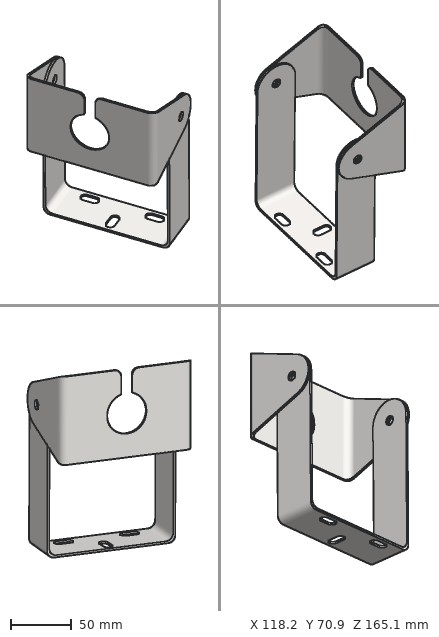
import cadquery as cq
import math


EAR_RADIUS = 19.0
PIVOT_HOLE_DIAMETER = 8.0
BEND_RADIUS = 6.5

PLATE_WIDTH = 118.2
PLATE_HEIGHT = 76.0
PLATE_THICKNESS = 1.8
PLATE_REACH = 50.9
FLANGE_TAPER = 20.0
CABLE_HOLE_DIAMETER = 35.0
ENTRY_SLOT_WIDTH = 9.7
ENTRY_SLOT_ROUND = 6.0
THROAT_ROUND = 2.0

STAND_WIDTH = PLATE_WIDTH - 2 * PLATE_THICKNESS
STAND_THICKNESS = 2.0
STAND_DROP = 127.0
STAND_TILT = 0.45
STAND_DEPTH = 2 * EAR_RADIUS

SLOT_LENGTH = 16.5
SLOT_WIDTH = 8.0
SIDE_SLOT_X = 29.4
SIDE_SLOT_Y = 11.5
CENTRE_SLOT_Y = -7.5


def bent_channel(width, leg, depth, thickness):
    """U channel in local XY, base on y = 0 and legs toward +y, extruded by depth."""
    outer = (
        cq.Workplane("XY").rect(width, 2 * leg).extrude(depth)
        .edges("|Z").fillet(BEND_RADIUS)
    )
    inner = (
        cq.Workplane("XY").rect(width - 2 * thickness, 2 * (leg - thickness)).extrude(depth)
        .edges("|Z").fillet(BEND_RADIUS)
    )
    base_half = cq.Workplane("XY").center(0, -leg / 2).rect(width, leg).extrude(depth)
    return outer.cut(inner).intersect(base_half).translate((0, leg, 0))


def across(outline):
    """Extrude a closed YZ outline across the full width of the part."""
    return outline.extrude(PLATE_WIDTH / 2, both=True)


def pivot_hole():
    return across(cq.Workplane("YZ").circle(PIVOT_HOLE_DIAMETER / 2))


def flange_profile():
    """Side outline: pivot arc, tangent tapers, then a short straight front."""
    taper = math.radians(FLANGE_TAPER)
    half_height = PLATE_HEIGHT / 2
    tangent_y = EAR_RADIUS * math.sin(taper)
    tangent_z = EAR_RADIUS * math.cos(taper)
    shoulder_y = -(half_height - EAR_RADIUS / math.cos(taper)) / math.tan(taper)
    return across(
        cq.Workplane("YZ")
        .moveTo(-PLATE_REACH, -half_height)
        .lineTo(shoulder_y, -half_height)
        .lineTo(tangent_y, -tangent_z)
        .threePointArc((EAR_RADIUS, 0), (tangent_y, tangent_z))
        .lineTo(shoulder_y, half_height)
        .lineTo(-PLATE_REACH, half_height)
        .close()
    )


def keyhole():
    """Cable hole open to the top edge, with rounded slot mouth and throat."""
    hole_radius = CABLE_HOLE_DIAMETER / 2
    half_slot = ENTRY_SLOT_WIDTH / 2
    top = PLATE_HEIGHT / 2
    throat_z = math.sqrt(hole_radius**2 - half_slot**2)
    panel_depth = 2 * PLATE_THICKNESS
    blank = cq.Workplane("XZ").rect(PLATE_WIDTH / 2, PLATE_HEIGHT).extrude(panel_depth)
    hole = cq.Workplane("XZ").circle(hole_radius).extrude(panel_depth)
    slot = cq.Workplane("XZ").center(0, top / 2).rect(ENTRY_SLOT_WIDTH, top).extrude(panel_depth)
    rounded = blank.cut(hole).cut(slot)
    for height, radius in ((top, ENTRY_SLOT_ROUND), (throat_z, THROAT_ROUND)):
        for x in (-half_slot, half_slot):
            corner = cq.selectors.NearestToPointSelector((x, -panel_depth / 2, height))
            rounded = rounded.edges("|Y").edges(corner).fillet(radius)
    return blank.cut(rounded).translate((0, PLATE_THICKNESS - PLATE_REACH, 0))


def make_clamp_plate():
    channel = bent_channel(
        PLATE_WIDTH, PLATE_REACH + EAR_RADIUS, PLATE_HEIGHT, PLATE_THICKNESS
    ).translate((0, -PLATE_REACH, -PLATE_HEIGHT / 2))
    return channel.intersect(flange_profile()).cut(keyhole()).cut(pivot_hole())


def stand_profile():
    """Side outline: straight strap with a round top about the pivot."""
    strap = across(
        cq.Workplane("YZ").center(0, -STAND_DROP / 2).rect(STAND_DEPTH, STAND_DROP)
    )
    return strap.union(across(cq.Workplane("YZ").circle(EAR_RADIUS)))


def mounting_slots():
    base = cq.Workplane("XY", origin=(0, 0, -STAND_DROP))
    cut_height = 2 * STAND_THICKNESS
    side_slots = (
        base.pushPoints([(-SIDE_SLOT_X, SIDE_SLOT_Y), (SIDE_SLOT_X, SIDE_SLOT_Y)])
        .slot2D(SLOT_LENGTH, SLOT_WIDTH).extrude(cut_height)
    )
    centre_slot = base.center(0, CENTRE_SLOT_Y).slot2D(SLOT_LENGTH, SLOT_WIDTH, 90).extrude(cut_height)
    return side_slots.union(centre_slot)


def make_stand():
    channel = (
        bent_channel(
            STAND_WIDTH, STAND_DROP + EAR_RADIUS, STAND_DEPTH, STAND_THICKNESS
        )
        .rotate((0, 0, 0), (1, 0, 0), 90)
        .translate((0, EAR_RADIUS, -STAND_DROP))
    )
    upright = channel.intersect(stand_profile()).cut(mounting_slots()).cut(pivot_hole())
    return upright.rotate((0, 0, 0), (1, 0, 0), STAND_TILT)


clamp_plate = make_clamp_plate()
stand = make_stand()

result = cq.Compound.makeCompound([clamp_plate.val(), stand.val()])